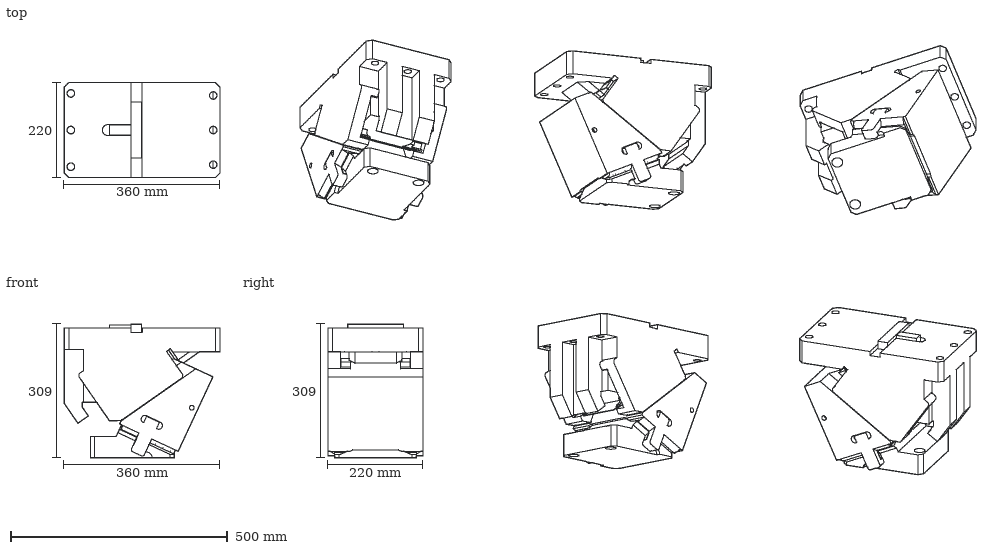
import cadquery as cq
import math

WIDTH = 220.0
HALF_WIDTH = WIDTH / 2
REACH = 540.0

CAM_ANGLE = 35.0
DRIVE_ANGLE = 25.0
CAM_ORIGIN = (131.8, 0, 85.5)
DRIVE_ORIGIN = (127.8, 0, 78.5)

LENGTH = 360.0
PLATE_TOP = 300.2
PLATE_BOTTOM = 245.0
SHOULDER_BOTTOM = 250.2
PLATE_CHAMFER = 10.8
SCREW_DIAMETER = 17.0
LEFT_SCREW_X = 15.5
LEFT_SCREW_Y = 84.5
RIGHT_SCREW_X = 344.0
RIGHT_SCREW_Y = 80.0
KEY_X = 154.8
KEY_WIDTH = 25.2
KEY_LENGTH = 129.5
KEY_TOP = 309.0
KEY_DEPTH = 10.0
KEY_CLEARANCE = 1.0
SMALL_KEY_X = 104.5
SMALL_KEY_TOP = 307.0
SMALL_KEY_WIDTH = 23.0
SMALL_SLOT_X = 88.2
SMALL_SLOT_WIDTH = 25.0

BODY_X = 45.0
BODY_BOTTOM = 128.5
CORE_END_X = 180.0
GUIDE_BOTTOM = CAM_ORIGIN[2]
GUIDE_LEFT_X = 104.8
NUB_TOP = 202.0
NUB_X = 31.0
NUB_TIP_HEIGHT = 192.2
NUB_RADIUS = 7.2
NUB_INNER_Y = 65.0
NUB_STEP_HEIGHT = 178.0
GUIDE_INNER_Y = 81.0
GUIDE_END = 178.0
GUIDE_CHAMFER = 4.5
GAP_WIDTH = 10.8
GAP_TOP = 71.5
CAM_CLEARANCE = 1.0
FLANGE_TOP = 28.0
GAP_STRIP_WIDTH = 5.8
LEG_WIDTH = 122.5
LEG_BOTTOM = 126.0
LEG_POINT = (31.5, 80.0)
LEG_CORNER = (56.0, 97.0)
LEG_INNER_X = 42.0
LEG_BEND = 117.5
LEG_SLOT_WIDTH = 44.0
LEG_SLOT_DEPTH = 36.7

STEM_HALF = 57.5
HEAD_HALF = 79.5
HEAD_BOTTOM = 31.5
HEAD_START = -4.5
HEAD_LEDGE_START = -14.5
HEAD_LEDGE_TOP = 35.3
HEAD_TOP = 48.2
RAIL_HALF = 61.2
RAIL_BOTTOM_HALF = 48.0
RAIL_SHOULDER = 40.5
RAIL_BOTTOM = 27.0

SLIDER_LENGTH = 149.8
SLIDER_HEIGHT = 190.0
BEVEL_HEIGHT = 9.7
BEVEL_START = 8.3
BEVEL_END = 143.0
PIN_HOLE_X = 295.0
PIN_HOLE_Z = 116.0
PIN_HOLE_DIAMETER = 10.8
PIN_HOLE_DEPTH = 14.5

HOOK_START = 49.5
HOOK_WIDTH = 32.8
HOOK_TIP = -45.5
HOOK_RADIUS = 5.8
HOOK_FOOT_TOP = -32.5
HOOK_FOOT_INNER = 86.0
POCKET_START = 40.0
POCKET_LENGTH = 52.2
POCKET_BOTTOM = 26.3
POCKET_HEIGHT = 17.3
POCKET_CLEARANCE = 1.0

BASE_X = 60.5
BASE_END_X = 255.0
BASE_WIDTH = 170.5
BASE_STEP_HEIGHT = 49.5
BASE_CHAMFER = 10.0
RIDGE_START = 5.0
RIDGE_TOP = 3.2
RIDGE_HALF = 53.3
ROOF_FOOT_HALF = 71.5
LIP_HALF = 94.5
LIP_TOP = -6.0
LIP_EDGE = -11.0
LIP_BOTTOM = -19.8
ROOF_EAVE = -13.5
CATCH_START = 50.5
WIDE_EAVE = -14.5
HOOK_ROOM_END_X = 203.5
HOOK_ROOM_RADIUS = 13.5
BASE_HOLE_DIAMETER = 24.5
BASE_HOLE_X = 77.0
BASE_HOLE_Y = 59.0

BASE_ROOF = [
    (BASE_WIDTH / 2, -REACH),
    (BASE_WIDTH / 2, ROOF_EAVE),
    (RIDGE_HALF, RIDGE_TOP),
]
BASE_LIP = [
    (BASE_WIDTH / 2, LIP_BOTTOM),
    (LIP_HALF, LIP_EDGE),
    (ROOF_FOOT_HALF, LIP_TOP),
]
WIDE_ROOF = [
    (LIP_HALF, -REACH),
    (LIP_HALF, WIDE_EAVE),
    (ROOF_FOOT_HALF, LIP_TOP),
    (RIDGE_HALF, RIDGE_TOP),
]
SLIDER_GROOVE = [
    (LIP_HALF, -REACH),
    (LIP_HALF, LIP_TOP),
    (ROOF_FOOT_HALF, LIP_TOP),
    (RIDGE_HALF, RIDGE_TOP),
]


def side_plane(origin, angle, y=0.0):
    """Plane seen from -Y whose first axis is tilted up from +X by the angle."""
    tilt = math.radians(angle)
    place = (origin[0], y, origin[2])
    return cq.Workplane(cq.Plane(place, (math.cos(tilt), 0, math.sin(tilt)), (0, -1, 0)))


def section_plane(origin, angle):
    """Plane across a tilted direction: first axis +Y, second axis up, normal along the direction."""
    tilt = math.radians(angle)
    return cq.Workplane(cq.Plane(origin, (0, 1, 0), (math.cos(tilt), 0, math.sin(tilt))))


def side_prism(points, half_width):
    """Extrude an X-Z outline evenly to both sides of the middle plane."""
    return cq.Workplane("XZ").polyline(points).close().extrude(half_width, both=True)


def tilted_box(origin, angle, start, bottom, end, top, half_width):
    """Box given by its extent along and across a tilted direction."""
    outline = side_plane(origin, angle).moveTo(start, bottom).lineTo(end, bottom)
    return outline.lineTo(end, top).lineTo(start, top).close().extrude(half_width, both=True)


def mirrored_section(half):
    """Close a right-hand list of (y, height) points with its mirror image."""
    return half + [(-y, height) for y, height in reversed(half)]


def with_mirror(solid):
    """Put a second copy on the opposite Y side."""
    return solid.union(solid.mirror("XZ"))


def cam_point(along, across):
    """X and Z of a point given along and across the cam direction."""
    tilt = math.radians(CAM_ANGLE)
    x = CAM_ORIGIN[0] + along * math.cos(tilt) - across * math.sin(tilt)
    z = CAM_ORIGIN[2] + along * math.sin(tilt) + across * math.cos(tilt)
    return x, z


def cam_profile(head_half, head_bottom):
    """Everything below the cam faces, with a T head of the given size and its V groove."""
    half = [
        (HALF_WIDTH, -REACH),
        (HALF_WIDTH, 0),
        (STEM_HALF, 0),
        (STEM_HALF, head_bottom),
        (head_half, head_bottom),
        (head_half, HEAD_TOP),
        (RAIL_HALF, HEAD_TOP),
        (RAIL_HALF, RAIL_SHOULDER),
        (RAIL_BOTTOM_HALF, RAIL_BOTTOM),
    ]
    section = section_plane(CAM_ORIGIN, CAM_ANGLE).polyline(mirrored_section(half)).close()
    return section.extrude(REACH, both=True)


def drive_prism(half, start, end):
    """Mirrored cross-section run along the drive direction."""
    plane = section_plane(DRIVE_ORIGIN, -DRIVE_ANGLE).workplane(offset=start)
    return plane.polyline(mirrored_section(half)).close().extrude(end - start)


def make_plate():
    outline = [
        (0, SHOULDER_BOTTOM),
        (BODY_X, SHOULDER_BOTTOM),
        (BODY_X, PLATE_BOTTOM),
        (LENGTH, PLATE_BOTTOM),
        (LENGTH, PLATE_TOP),
        (0, PLATE_TOP),
    ]
    corners = side_prism(outline, HALF_WIDTH).edges("|Z").edges("<X or >X")
    plate = corners.chamfer(PLATE_CHAMFER)
    left = [(LEFT_SCREW_X, y) for y in (-LEFT_SCREW_Y, 0, LEFT_SCREW_Y)]
    right = [(RIGHT_SCREW_X, y) for y in (-RIGHT_SCREW_Y, 0, RIGHT_SCREW_Y)]
    screws = cq.Workplane().pushPoints(left + right).circle(SCREW_DIAMETER / 2).extrude(REACH)
    return plate.cut(screws)


def cut_keyways(holder):
    floor = cq.Workplane().workplane(offset=PLATE_TOP - KEY_DEPTH)
    cross_way = floor.center(KEY_X + KEY_WIDTH / 2, 0).rect(KEY_WIDTH, REACH).extrude(REACH)
    radius = SMALL_SLOT_WIDTH / 2
    straight_x = SMALL_SLOT_X + radius
    small_way = (
        floor.moveTo(KEY_X, -radius)
        .lineTo(straight_x, -radius)
        .threePointArc((SMALL_SLOT_X, 0), (straight_x, radius))
        .lineTo(KEY_X, radius)
        .close()
        .extrude(REACH)
    )
    return holder.cut(cross_way).cut(small_way)


def make_keys():
    floor = PLATE_TOP - KEY_DEPTH
    key = cq.Workplane().box(
        KEY_WIDTH - KEY_CLEARANCE, KEY_LENGTH, KEY_TOP - floor, centered=(False, True, False)
    )
    small_key = cq.Workplane().box(
        KEY_X - SMALL_KEY_X, SMALL_KEY_WIDTH, SMALL_KEY_TOP - floor, centered=(False, True, False)
    )
    return key.translate((KEY_X, 0, floor)).union(small_key.translate((SMALL_KEY_X, 0, floor)))


def make_guides():
    """Body under the plate with the two guide plates and the window between them."""
    outline = [
        (BODY_X, SHOULDER_BOTTOM),
        (BODY_X, NUB_TOP),
        (NUB_X, NUB_TIP_HEIGHT),
        (GUIDE_LEFT_X, GUIDE_BOTTOM),
        cam_point(0, CAM_CLEARANCE),
        cam_point(GUIDE_END - GUIDE_CHAMFER, CAM_CLEARANCE),
        cam_point(GUIDE_END, CAM_CLEARANCE + GUIDE_CHAMFER),
        cam_point(GUIDE_END, GAP_TOP),
        (CORE_END_X, PLATE_TOP),
        (BODY_X, PLATE_TOP),
    ]
    body = side_prism(outline, HALF_WIDTH)
    body = body.edges("|Y").edges("<X").fillet(NUB_RADIUS)
    nub_gap = cq.Workplane().box(BODY_X, 2 * NUB_INNER_Y, REACH, centered=(False, True, True))
    nub_step = cq.Workplane().box(
        BODY_X, 2 * GUIDE_INNER_Y, NUB_STEP_HEIGHT, centered=(False, True, False)
    )
    window = cq.Workplane().box(REACH, 2 * GUIDE_INNER_Y, BODY_BOTTOM, centered=(False, True, False))
    above_flange = tilted_box(
        CAM_ORIGIN, CAM_ANGLE, -REACH, FLANGE_TOP, REACH, REACH, HALF_WIDTH
    )
    core = cq.Workplane().box(
        CORE_END_X - BODY_X,
        2 * GUIDE_INNER_Y,
        SHOULDER_BOTTOM - BODY_BOTTOM,
        centered=(False, True, False),
    )
    core = core.translate((BODY_X, 0, BODY_BOTTOM)).intersect(above_flange)
    body = body.cut(nub_gap).cut(nub_step).cut(window.intersect(above_flange)).union(core)
    return body.cut(cam_profile(GUIDE_INNER_Y, FLANGE_TOP))


def make_end_rail():
    """End of the V rail beyond the gap, hanging under the plate."""
    half = [
        (RAIL_BOTTOM_HALF, RAIL_BOTTOM),
        (RAIL_HALF, RAIL_SHOULDER),
        (RAIL_HALF, REACH),
    ]
    plane = section_plane(CAM_ORIGIN, CAM_ANGLE).workplane(offset=GUIDE_END + GAP_WIDTH)
    rail = plane.polyline(mirrored_section(half)).close().extrude(REACH)
    below_plate = cq.Workplane().box(LENGTH, WIDTH, PLATE_BOTTOM, centered=(False, True, False))
    return rail.intersect(below_plate)


def make_legs():
    """Two hooked legs parted by a slot."""
    outline = [
        (0, SHOULDER_BOTTOM),
        (0, LEG_BOTTOM),
        LEG_POINT,
        LEG_CORNER,
        (LEG_INNER_X, LEG_BEND),
        (LEG_INNER_X, BODY_BOTTOM),
        (BODY_X, BODY_BOTTOM),
        (BODY_X, SHOULDER_BOTTOM),
    ]
    slot = cq.Workplane().box(
        LEG_SLOT_DEPTH, LEG_SLOT_WIDTH, SHOULDER_BOTTOM, centered=(False, True, False)
    )
    return side_prism(outline, LEG_WIDTH / 2).cut(slot)


def make_holder():
    gap = tilted_box(
        CAM_ORIGIN, CAM_ANGLE, GUIDE_END, 0, GUIDE_END + GAP_WIDTH, GAP_TOP, HALF_WIDTH
    )
    holder = make_plate().union(make_guides()).union(make_end_rail()).union(make_legs()).cut(gap)
    strip = tilted_box(
        CAM_ORIGIN, CAM_ANGLE, GUIDE_END, HEAD_TOP, GUIDE_END + GAP_STRIP_WIDTH, GAP_TOP, GUIDE_INNER_Y
    )
    return cut_keyways(holder.union(strip)).union(make_keys())


def make_hook():
    """Return hook on the -Y side: a stem beside the base and a foot under its lip."""

    def bar(bottom, top, inner):
        outline = side_plane(DRIVE_ORIGIN, -DRIVE_ANGLE, -inner)
        outline = outline.moveTo(HOOK_START, bottom).lineTo(HOOK_START + HOOK_WIDTH, bottom)
        outline = outline.lineTo(HOOK_START + HOOK_WIDTH, top).lineTo(HOOK_START, top).close()
        return outline.extrude(HALF_WIDTH - inner)

    foot = bar(HOOK_TIP, HOOK_FOOT_TOP, HOOK_FOOT_INNER)
    foot = foot.edges("|Y").edges("<Z or <X").fillet(HOOK_RADIUS)
    stem = bar(HOOK_FOOT_TOP, POCKET_BOTTOM + POCKET_HEIGHT - POCKET_CLEARANCE, LIP_HALF)
    return stem.union(foot)


def make_slider(hooks):
    block = tilted_box(
        DRIVE_ORIGIN, -DRIVE_ANGLE, 0, -BEVEL_HEIGHT, SLIDER_LENGTH, SLIDER_HEIGHT, HALF_WIDTH
    )
    head_end = SLIDER_LENGTH / 2
    head = tilted_box(CAM_ORIGIN, CAM_ANGLE, HEAD_START, HEAD_BOTTOM, head_end, HEAD_TOP, HEAD_HALF)
    ledge = tilted_box(
        CAM_ORIGIN, CAM_ANGLE, HEAD_LEDGE_START, HEAD_BOTTOM, head_end, HEAD_LEDGE_TOP, HEAD_HALF
    )
    slider = block.union(head).union(ledge).intersect(cam_profile(HEAD_HALF, HEAD_BOTTOM))

    for start, end in ((0, BEVEL_START), (BEVEL_END, SLIDER_LENGTH)):
        relief = tilted_box(
            DRIVE_ORIGIN, -DRIVE_ANGLE, start, -BEVEL_HEIGHT, end, 0, HALF_WIDTH
        )
        slider = slider.cut(relief)
    bevel = (
        section_plane(DRIVE_ORIGIN, -DRIVE_ANGLE)
        .polyline([(-HALF_WIDTH, 0), (-LIP_HALF, -BEVEL_HEIGHT), (-HALF_WIDTH, -BEVEL_HEIGHT)])
        .close()
        .extrude(SLIDER_LENGTH)
    )
    slider = slider.cut(with_mirror(bevel)).cut(drive_prism(SLIDER_GROOVE, -REACH, REACH))

    pocket = (
        side_plane(DRIVE_ORIGIN, -DRIVE_ANGLE, -LIP_HALF)
        .center(POCKET_START + POCKET_LENGTH / 2, POCKET_BOTTOM + POCKET_HEIGHT / 2)
        .slot2D(POCKET_LENGTH, POCKET_HEIGHT)
        .extrude(HALF_WIDTH - LIP_HALF)
    )
    pin_hole = (
        cq.Workplane("XZ", origin=(PIN_HOLE_X, PIN_HOLE_DEPTH - HALF_WIDTH, PIN_HOLE_Z))
        .circle(PIN_HOLE_DIAMETER / 2)
        .extrude(PIN_HOLE_DEPTH)
    )
    return slider.cut(with_mirror(pocket)).cut(with_mirror(pin_hole)).union(hooks)


def base_block(left_x, width):
    """Upright block up to the right end of the base, with chamfered corners."""
    block = cq.Workplane().box(BASE_END_X - left_x, width, REACH, centered=(False, True, False))
    return block.translate((left_x, 0, 0)).edges("|Z").chamfer(BASE_CHAMFER)


def make_wide_part():
    """Wide right-hand part of the base, which overhangs the hook feet as a catch."""
    wide = base_block(BASE_X, 2 * LIP_HALF).intersect(drive_prism(WIDE_ROOF, CATCH_START, REACH))
    foot_room = tilted_box(
        DRIVE_ORIGIN, -DRIVE_ANGLE, 0, -REACH, HOOK_START + HOOK_WIDTH, HOOK_FOOT_TOP, HALF_WIDTH
    )
    round_end = (
        cq.Workplane("XZ")
        .center(HOOK_ROOM_END_X - HOOK_ROOM_RADIUS, 0)
        .circle(HOOK_ROOM_RADIUS)
        .extrude(HALF_WIDTH, both=True)
    )
    return wide.cut(foot_room).cut(round_end)


def make_base():
    block = base_block(BASE_X, BASE_WIDTH).intersect(drive_prism(BASE_ROOF, -REACH, REACH))

    step = cq.Workplane().box(REACH, WIDTH, BASE_STEP_HEIGHT, centered=(False, True, False))
    ridge_room = tilted_box(DRIVE_ORIGIN, -DRIVE_ANGLE, RIDGE_START, -REACH, REACH, REACH, HALF_WIDTH)
    base = block.intersect(step.union(ridge_room))

    base = base.union(drive_prism(BASE_LIP, RIDGE_START, CATCH_START)).union(make_wide_part())

    holes = (
        cq.Workplane()
        .pushPoints([(BASE_HOLE_X, -BASE_HOLE_Y), (BASE_HOLE_X, BASE_HOLE_Y)])
        .circle(BASE_HOLE_DIAMETER / 2)
        .extrude(BASE_STEP_HEIGHT)
    )
    return base.cut(holes)


hooks = with_mirror(make_hook())
holder = make_holder()
slider = make_slider(hooks)
base = make_base()
result = cq.Compound.makeCompound([holder.val(), slider.val(), base.val()])